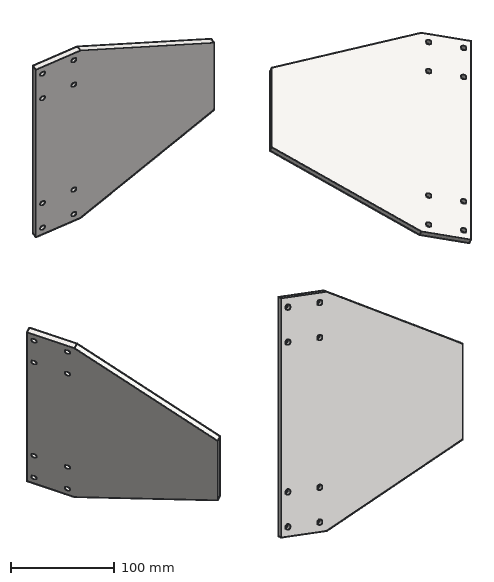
import cadquery as cq

thickness = 6.2
depth = 200.0
height = 240.0

base_strip = 50.0
far_edge_height = 96.0

hole_diameter = 5.5
hole_pitch = 35.0
base_margin = 7.5
end_margin = 9.8

base_y = -depth / 2
far_y = depth / 2
shoulder_y = base_y + base_strip
half_height = height / 2
half_far = far_edge_height / 2

outline = [
    (base_y, -half_height),
    (shoulder_y, -half_height),
    (far_y, -half_far),
    (far_y, half_far),
    (shoulder_y, half_height),
    (base_y, half_height),
]

near_hole_y = base_y + base_margin
outer_hole_z = half_height - end_margin
hole_centers = [
    (y, side * z)
    for side in (-1, 1)
    for y in (near_hole_y, near_hole_y + hole_pitch)
    for z in (outer_hole_z, outer_hole_z - hole_pitch)
]

plate = cq.Workplane("YZ").polyline(outline).close().extrude(thickness / 2, both=True)
holes = (
    cq.Workplane("YZ")
    .pushPoints(hole_centers)
    .circle(hole_diameter / 2)
    .extrude(thickness, both=True)
)

result = plate.cut(holes)